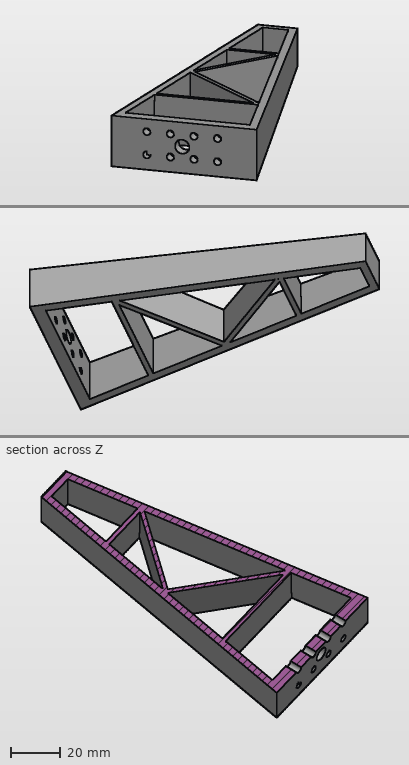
import cadquery as cq
import math

length = 137.5
front_width = 61.6
back_width = 16.75
front_height = 22.0
back_height = 16.5

frame_center_x = 0.8
bottom_z = -11.5

front_wall = 5.5
back_wall = 3.3
side_wall = 3.5
bar_thickness = 2.0
bar_flare = 0.3
front_bar_y = 33.7
back_bar_y = 101.55
brace_node_y = 67.5
front_brace_end_y = 33.8
back_brace_end_y = 100.5

center_hole_diameter = 6.0
small_hole_diameter = 3.0
small_hole_pitch = 10.0
small_hole_columns = 4
small_hole_rows = 2


def half_width(y):
    """Half of the outer width at distance y behind the front face."""
    return (front_width + (back_width - front_width) * y / length) / 2


def inner_half_width(y):
    """Half of the clear width between the side walls at y."""
    return half_width(y) - side_wall


def tapered_block(y_front, y_back, half_width_at):
    """Full-height prism bounded by the two tapering sides between two Y positions."""
    return (
        cq.Workplane("XY", origin=(frame_center_x, 0, bottom_z))
        .polyline([
            (-half_width_at(y_front), y_front),
            (half_width_at(y_front), y_front),
            (half_width_at(y_back), y_back),
            (-half_width_at(y_back), y_back),
        ])
        .close()
        .extrude(front_height)
    )


def bar(start, end):
    """Full-height web along the line from start to end.

    The face on the right of the direction of travel is vertical. The face on the
    left is drafted, so that the web is bar_flare thicker at the bottom.
    """
    first = cq.Vector(*start)
    last = cq.Vector(*end)
    axis = last - first
    left = cq.Vector(-axis.y, axis.x).normalized()
    middle_x = (first.x + last.x) / 2
    middle_y = (first.y + last.y) / 2
    section_plane = cq.Plane(
        origin=(frame_center_x + middle_x, middle_y, bottom_z),
        xDir=left,
        normal=axis,
    )
    return (
        cq.Workplane(section_plane)
        .polyline([
            (-bar_thickness / 2, 0),
            (bar_thickness / 2 + bar_flare, 0),
            (bar_thickness / 2, front_height),
            (-bar_thickness / 2, front_height),
        ])
        .close()
        .extrude(axis.Length / 2, both=True)
    )


def wall_middle(y, side):
    """Point inside the side wall (side is -1 or +1), where a bar can end."""
    return (side * (half_width(y) - side_wall / 2), y)


def side_profile():
    """Side silhouette: flat bottom and a top that slopes down towards the back."""
    return (
        cq.Workplane("YZ", origin=(frame_center_x, 0, bottom_z))
        .polyline([(0, 0), (length, 0), (length, back_height), (0, front_height)])
        .close()
        .extrude(front_width / 2, both=True)
    )


def front_holes(points, diameter):
    """Cylinders along Y that pass through the front wall only."""
    return (
        cq.Workplane("XZ")
        .pushPoints(points)
        .circle(diameter / 2)
        .extrude(-front_wall)
    )


def three_quarter_hole(point, diameter):
    """Front-wall hole whose +X, +Z quarter stays solid."""
    radius = diameter / 2
    diagonal = radius * math.sqrt(0.5)
    return (
        cq.Workplane("XZ")
        .center(*point)
        .lineTo(0, radius)
        .threePointArc((-diagonal, -diagonal), (radius, 0))
        .close()
        .extrude(-front_wall)
    )


frame = tapered_block(0, length, half_width)
frame = frame.cut(tapered_block(front_wall, length - back_wall, inner_half_width))

front_bar = bar(wall_middle(front_bar_y, 1), wall_middle(front_bar_y, -1))
back_bar = bar(wall_middle(back_bar_y, -1), wall_middle(back_bar_y, 1))

brace_node = (-inner_half_width(brace_node_y), brace_node_y)
front_brace_end = (inner_half_width(front_brace_end_y), front_brace_end_y)
back_brace_end = (inner_half_width(back_brace_end_y), back_brace_end_y)
front_brace = bar(brace_node, front_brace_end)
back_brace = bar(brace_node, back_brace_end)

for web in (front_bar, back_bar, front_brace, back_brace):
    frame = frame.union(web)

frame = frame.intersect(side_profile())

first_column_x = -small_hole_pitch * (small_hole_columns - 1) / 2
first_row_z = -small_hole_pitch * (small_hole_rows - 1) / 2
small_hole_points = [
    (first_column_x + column * small_hole_pitch, first_row_z + row * small_hole_pitch)
    for column in range(small_hole_columns)
    for row in range(small_hole_rows)
]
partial_hole_point = small_hole_points[0]
frame = frame.cut(front_holes([(0, 0)], center_hole_diameter))
frame = frame.cut(front_holes(small_hole_points[1:], small_hole_diameter))
frame = frame.cut(three_quarter_hole(partial_hole_point, small_hole_diameter))

result = frame